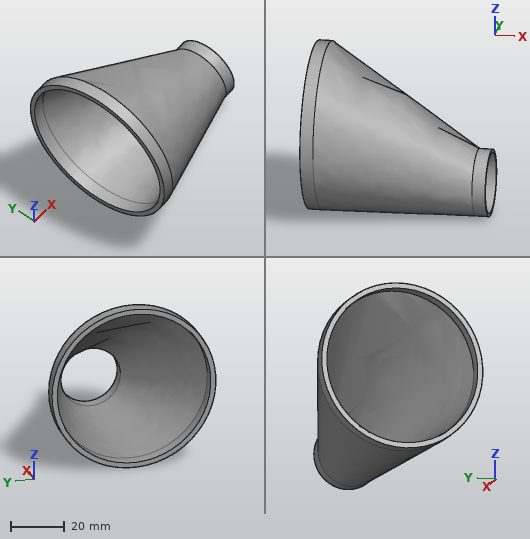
import cadquery as cq

large_outer_diameter = 63.5
large_inner_diameter = 59.5
small_outer_diameter = 25.4
small_inner_diameter = 23.0
total_length = 67.0
collar_length = 5.0

cone_length = total_length - 2 * collar_length
small_end_start = total_length - collar_length

small_axis_z = (small_outer_diameter - large_outer_diameter) / 2


def reducer_body(large_diameter, small_diameter):
    """Solid made of a large collar, an offset straight-sided cone and a small collar."""
    large_radius = large_diameter / 2
    small_radius = small_diameter / 2
    large_collar = cq.Workplane("YZ").circle(large_radius).extrude(collar_length)
    cone = (
        cq.Workplane("YZ", origin=(collar_length, 0, 0))
        .circle(large_radius)
        .workplane(offset=cone_length)
        .center(0, small_axis_z)
        .circle(small_radius)
        .loft(ruled=True)
    )
    small_collar = (
        cq.Workplane("YZ", origin=(small_end_start, 0, small_axis_z))
        .circle(small_radius)
        .extrude(collar_length)
    )
    return large_collar.union(cone).union(small_collar)


outer_body = reducer_body(large_outer_diameter, small_outer_diameter)
bore = reducer_body(large_inner_diameter, small_inner_diameter)

result = outer_body.cut(bore)